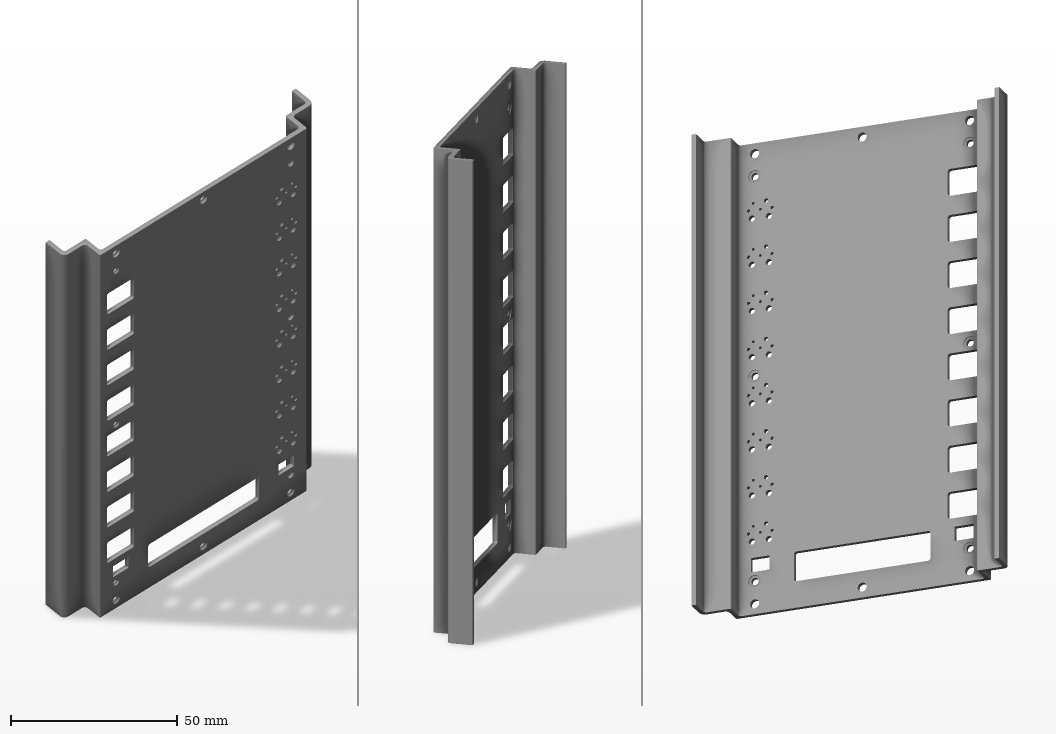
import cadquery as cq

depth = 15.0
width = 100.0
height = 153.2
sheet = 1.5

web_front = (depth - sheet) / 2
wall_inset = 8.6
outer_bend = 1.8
outer_valley_bend = 1.2
valley_bend = 0.9
crest_bend = 0.5

side_hole_y = 35.0
mount_hole_z = 73.2
mount_hole_diameter = 2.9

screw_hole_levels = (65.9, 0.9, -65.9)
screw_hole_diameter = 2.3
spot_face_diameter = 4.0
spot_face_depth = 0.3

station_count = 8
station_pitch = 15.0
window_width = 10.9
window_height = 8.7
window_y = -33.2
window_row_z = 1.5
window_corner = 0.8

cluster_y = 33.1
cluster_row_z = 2.3
cluster_holes = (
    (0.0, 0.0, 0.9),
    (3.8, 0.0, 1.0),
    (-3.8, 0.0, 1.0),
    (2.3, 2.3, 0.9),
    (-1.8, 2.6, 1.4),
    (2.8, -2.6, 2.0),
    (-2.8, -2.6, 2.0),
)

slot_width = 44.3
slot_height = 9.7
slot_z = -63.1
slot_corner = 0.8
notch_width = 6.1
notch_height = 4.6
notch_y = 33.1
notch_z = -60.5

plate_front = depth - sheet


def channel():
    """Bent sheet: two flanges, two webs and two walls around a flat plate."""
    side = width / 2
    wall_outer = side - wall_inset
    wall_inner = wall_outer - sheet
    web_back = web_front + sheet
    outline = [
        (0, side),
        (web_back, side),
        (web_back, wall_outer),
        (depth, wall_outer),
        (depth, -wall_outer),
        (web_back, -wall_outer),
        (web_back, -side),
        (0, -side),
        (0, sheet - side),
        (web_front, sheet - side),
        (web_front, -wall_inner),
        (plate_front, -wall_inner),
        (plate_front, wall_inner),
        (web_front, wall_inner),
        (web_front, side - sheet),
        (0, side - sheet),
    ]
    body = cq.Workplane("XY").polyline(outline).close().extrude(height)
    body = body.translate((0, 0, -height / 2))

    bends = (
        (outer_bend, web_back, side),
        (outer_valley_bend, web_back, wall_outer),
        (crest_bend, depth, wall_outer),
        (valley_bend, web_front, side - sheet),
        (crest_bend, web_front, wall_inner),
        (valley_bend, plate_front, wall_inner),
    )
    reach = 0.2
    for radius, x, y in bends:
        for corner_y in (y, -y):
            corner = cq.selectors.BoxSelector(
                (x - reach, corner_y - reach, -height),
                (x + reach, corner_y + reach, height),
            )
            body = body.edges("|Z").edges(corner).fillet(radius)
    return body


def bore(points, diameter, bore_depth=sheet):
    """Cutters for round holes in the front of the plate at the given (Y, Z) points."""
    plane = cq.Workplane("YZ", origin=(plate_front, 0, 0))
    return plane.pushPoints(points).circle(diameter / 2).extrude(bore_depth)


def opening(points, across, tall, corner=0):
    """Cutters for rectangular openings through the plate, centred on the given (Y, Z) points."""
    plane = cq.Workplane("YZ", origin=(plate_front, 0, 0))
    cutter = plane.pushPoints(points).rect(across, tall).extrude(sheet)
    if corner:
        cutter = cutter.edges("|X").fillet(corner)
    return cutter


stations = [(i - (station_count - 1) / 2) * station_pitch for i in range(station_count)]

mount_points = [(y, z) for y in (-side_hole_y, 0, side_hole_y) for z in (-mount_hole_z, mount_hole_z)]
screw_points = [(y, z) for y in (-side_hole_y, side_hole_y) for z in screw_hole_levels]
window_points = [(window_y, window_row_z + z) for z in stations]
notch_points = [(-notch_y, notch_z), (notch_y, notch_z)]

result = channel()
result = result.cut(bore(mount_points, mount_hole_diameter))
result = result.cut(bore(screw_points, screw_hole_diameter))
result = result.cut(bore(screw_points, spot_face_diameter, spot_face_depth))

for y_offset, z_offset, diameter in cluster_holes:
    points = [(cluster_y + y_offset, cluster_row_z + z_offset + z) for z in stations]
    result = result.cut(bore(points, diameter))

result = result.cut(opening(window_points, window_width, window_height, window_corner))
result = result.cut(opening([(0, slot_z)], slot_width, slot_height, slot_corner))
result = result.cut(opening(notch_points, notch_width, notch_height))